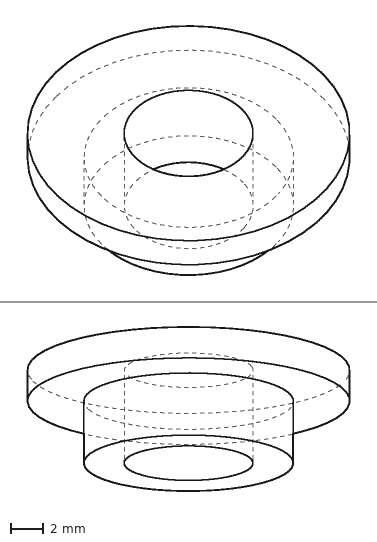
import cadquery as cq

flange_diameter = 20
sleeve_diameter = 13
bore_diameter = 8
total_height = 6
flange_thickness = 2
sleeve_length = total_height - flange_thickness

sleeve = cq.Workplane("XY").circle(sleeve_diameter / 2).extrude(sleeve_length)

flange = (
    cq.Workplane("XY")
    .workplane(offset=sleeve_length)
    .circle(flange_diameter / 2)
    .extrude(flange_thickness)
)

bore = cq.Workplane("XY").circle(bore_diameter / 2).extrude(total_height)

result = sleeve.union(flange).cut(bore)